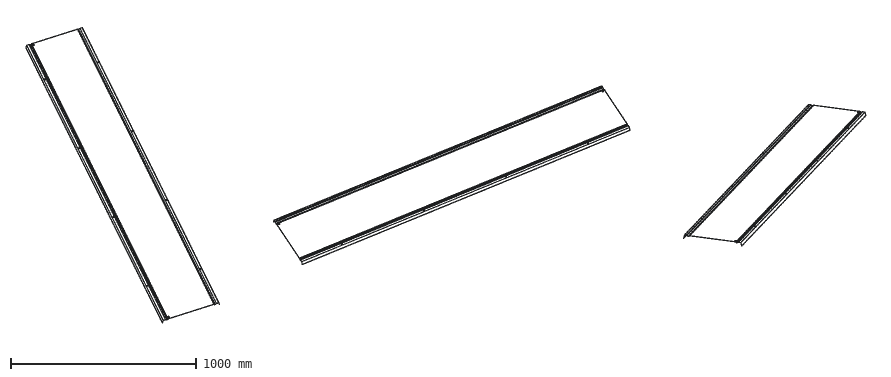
import cadquery as cq
import math

length = 2000.0
width = 335.0
height = 20.0
sheet = 1.0
half_width = width / 2

fold_y = 162.0

groove_inner_y = 135.0
groove_floor_inner_y = 135.0
groove_floor_outer_y = 140.0
groove_outer_y = 148.0
groove_depth = 5.0
groove_floor_z = height - groove_depth

hole_diameter = 5.0
end_hole_inset = 12.0
end_hole_y = -125.0
row_hole_count = 4
row_hole_spacing = length / row_hole_count
row_hole_y = 152.0

outer_line = [
    (0, height),
    (groove_inner_y, height),
    (groove_floor_inner_y, groove_floor_z),
    (groove_floor_outer_y, groove_floor_z),
    (groove_outer_y, height),
    (fold_y, height),
    (half_width, 0),
]


def inside_normal(start, end):
    """Unit vector pointing from the outer surface into the sheet."""
    dy = end[0] - start[0]
    dz = end[1] - start[1]
    span = math.hypot(dy, dz)
    return dz / span, -dy / span


def inner_surface(line):
    """Line one sheet thickness inside the given line, with mitred corners and a level rim."""
    normals = [inside_normal(a, b) for a, b in zip(line, line[1:])]
    points = [(line[0][0], line[0][1] - sheet)]
    for (y, z), first, second in zip(line[1:-1], normals, normals[1:]):
        reach = sheet / (1 + first[0] * second[0] + first[1] * second[1])
        points.append((y + reach * (first[0] + second[0]), z + reach * (first[1] + second[1])))
    rim_y, rim_z = line[-1]
    points.append((rim_y + sheet / normals[-1][0], rim_z))
    return points


def half_cover():
    outline = outer_line + inner_surface(outer_line)[::-1]
    return cq.Workplane("YZ", origin=(-length / 2, 0, 0)).polyline(outline).close().extrude(length)


def hole_cutters():
    end_hole_x = length / 2 - end_hole_inset
    centres = [(-end_hole_x, end_hole_y), (end_hole_x, end_hole_y)]
    for index in range(row_hole_count):
        x = (index - (row_hole_count - 1) / 2) * row_hole_spacing
        centres += [(x, -row_hole_y), (x, row_hole_y)]
    return cq.Workplane("XY").pushPoints(centres).circle(hole_diameter / 2).extrude(height)


half = half_cover()
cover = half.union(half.mirror("XZ"))
result = cover.cut(hole_cutters())